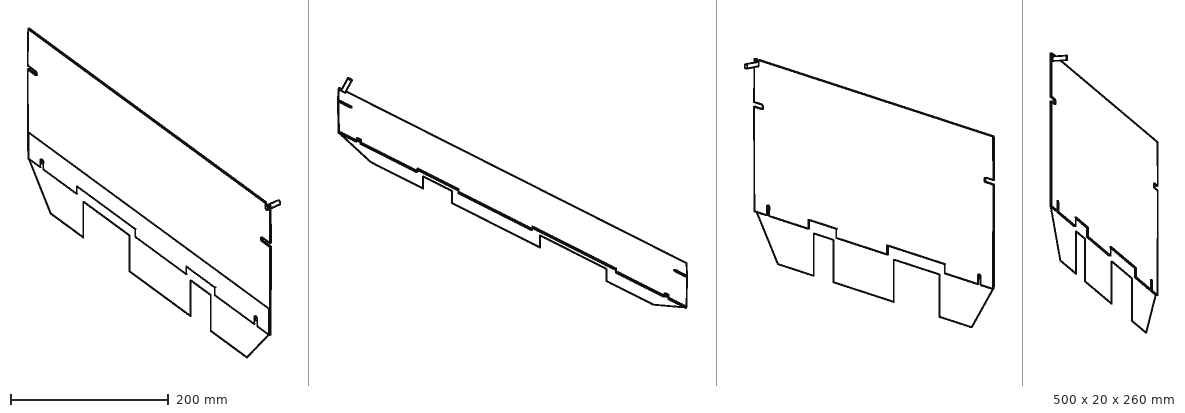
import cadquery as cq

plate_height = 200.0
plate_thickness = 2.0
half_width = 250.0
corner_half_width = 249.0
slot_width = 6.0
side_slot_z = 140.0
side_slot_end_x = 231.0
mount_x = 220.5
mount_z = 10.5
relief_height = 12.0
reliefs = [(-148.5, -28.0), (77.5, 136.5)]

flap_thickness = 0.05
flap_half_width = 247.5
flap_bottom_half_width = 202.5
flap_top_z = 40.5
flap_bottom_z = -60.0
notch_top_z = -4.5
notches = [(-135.0, -40.0), (86.5, 127.5)]

pin_diameter = 6.0
pin_x = 243.0
pin_z = 194.0
overall_depth = 20.0

plate_front_y = flap_thickness
plate_back_y = plate_front_y + plate_thickness
pin_length = overall_depth - plate_front_y


def slab(outline, front_y, depth):
    """Extrude a closed XZ outline backwards (+Y) from front_y."""
    return cq.Workplane("XZ", origin=(0, front_y, 0)).polyline(outline).close().extrude(-depth)


def block(x_range, z_range):
    """Rectangular cutter passing through both sheets."""
    x_min, x_max = x_range
    z_min, z_max = z_range
    outline = [(x_min, z_min), (x_max, z_min), (x_max, z_max), (x_min, z_max)]
    return slab(outline, 0, plate_back_y)


def rod(x, z, diameter, front_y, depth):
    """Round bar along Y, starting at front_y."""
    return cq.Workplane("XZ", origin=(x, front_y, z)).circle(diameter / 2).extrude(-depth)


def round_cutter(x, z, diameter):
    """Round cutter passing through both sheets."""
    return rod(x, z, diameter, 0, plate_back_y)


def vertical_slot(x, end_z, open_z):
    """Slot cutter with a round end at end_z, running straight to open_z."""
    x_range = (x - slot_width / 2, x + slot_width / 2)
    z_range = (min(end_z, open_z), max(end_z, open_z))
    return round_cutter(x, end_z, slot_width).union(block(x_range, z_range))


def side_slot(side):
    """Slot cutter with a round end, open to the left (-1) or right (+1) edge."""
    end_center_x = side * (side_slot_end_x + slot_width / 2)
    x_range = sorted((end_center_x, side * half_width))
    z_range = (side_slot_z - slot_width / 2, side_slot_z + slot_width / 2)
    return round_cutter(end_center_x, side_slot_z, slot_width).union(block(x_range, z_range))


def make_plate():
    outline = [
        (-corner_half_width, 0),
        (corner_half_width, 0),
        (half_width, side_slot_z - slot_width / 2),
        (half_width, side_slot_z + slot_width / 2),
        (corner_half_width, plate_height),
        (-corner_half_width, plate_height),
        (-half_width, side_slot_z + slot_width / 2),
        (-half_width, side_slot_z - slot_width / 2),
    ]
    body = slab(outline, plate_front_y, plate_thickness)
    for side in (-1, 1):
        body = body.cut(side_slot(side))
        body = body.cut(vertical_slot(side * mount_x, mount_z, 0))
    for relief in reliefs:
        body = body.cut(block(relief, (0, relief_height)))
    return body.cut(vertical_slot(pin_x, pin_z, plate_height))


def make_flap():
    outline = [
        (-flap_half_width, flap_top_z),
        (flap_half_width, flap_top_z),
        (flap_half_width, 0),
        (flap_bottom_half_width, flap_bottom_z),
        (-flap_bottom_half_width, flap_bottom_z),
        (-flap_half_width, 0),
    ]
    body = slab(outline, 0, flap_thickness)
    for notch in notches:
        body = body.cut(block(notch, (flap_bottom_z, notch_top_z)))
    for side in (-1, 1):
        body = body.cut(round_cutter(side * mount_x, mount_z, slot_width))
    return body


def make_pin():
    return rod(pin_x, pin_z, pin_diameter, plate_front_y, pin_length)


plate = make_plate()
flap = make_flap()
pin = make_pin()
bodies = [plate, flap, pin]
result = cq.Compound.makeCompound([body.solids().val() for body in bodies])